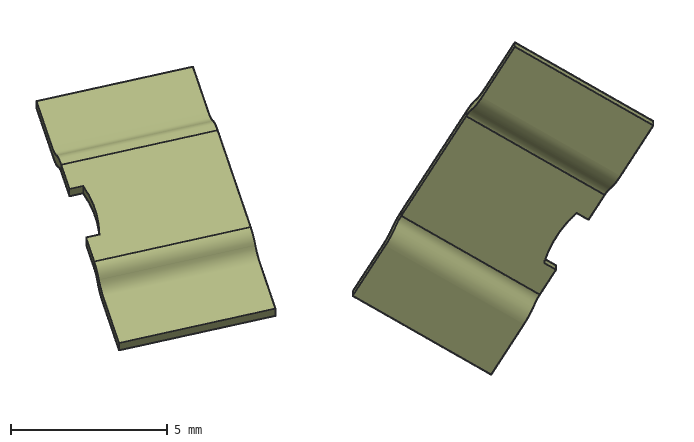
import cadquery as cq
import math

length = 10.0
width = 5.2
height = 0.88
thickness = 0.4

centre_length = 4.0
notch_width = 2.0
notch_depth = 0.58
notch_side_depth = 0.45

bend_angle = math.radians(45)
inside_radius = 0.4
outside_radius = inside_radius + thickness
foot_top_radius = 0.8
foot_bottom_radius = 0.8

raised_z = height - thickness
half_length = length / 2
half_centre = centre_length / 2


def bend_end_x(upper_radius, lower_radius):
    """X where the lower bend meets the flat foot, after a straight slope between the two bends."""
    radius_sum = upper_radius + lower_radius
    slope_drop = raised_z - radius_sum * (1 - math.cos(bend_angle))
    slope_run = slope_drop / math.tan(bend_angle)
    return half_centre + radius_sum * math.sin(bend_angle) + slope_run


def arc_point(centre_x, centre_z, radius, angle):
    """Point on a bend; the angle is measured from the +Z direction toward +X."""
    return (centre_x + radius * math.sin(angle), centre_z + radius * math.cos(angle))


def make_centre_plate():
    plate = cq.Workplane("XY").box(centre_length, width, thickness, centered=(True, True, False))
    front_y = -width / 2
    half_notch = notch_width / 2
    notch = (
        cq.Workplane("XY")
        .moveTo(-half_notch, front_y)
        .lineTo(-half_notch, front_y + notch_side_depth)
        .threePointArc((0, front_y + notch_depth), (half_notch, front_y + notch_side_depth))
        .lineTo(half_notch, front_y)
        .close()
        .extrude(thickness)
    )
    return plate.cut(notch).translate((0, 0, raised_z))


def make_end_piece():
    """The +X end piece: a strip bent down to a flat foot."""
    upper_centre = (half_centre, raised_z - inside_radius)
    top_end_x = bend_end_x(outside_radius, foot_top_radius)
    bottom_end_x = bend_end_x(inside_radius, foot_bottom_radius)
    half_bend = bend_angle / 2

    def upper(radius, angle):
        return arc_point(*upper_centre, radius, angle)

    def foot_top(angle):
        return arc_point(top_end_x, thickness + foot_top_radius, foot_top_radius, math.pi + angle)

    def foot_bottom(angle):
        return arc_point(bottom_end_x, foot_bottom_radius, foot_bottom_radius, math.pi + angle)

    return (
        cq.Workplane("XZ", origin=(0, width / 2, 0))
        .moveTo(half_centre, height)
        .threePointArc(upper(outside_radius, half_bend), upper(outside_radius, bend_angle))
        .lineTo(*foot_top(bend_angle))
        .threePointArc(foot_top(half_bend), (top_end_x, thickness))
        .lineTo(half_length, thickness)
        .lineTo(half_length, 0)
        .lineTo(bottom_end_x, 0)
        .threePointArc(foot_bottom(half_bend), foot_bottom(bend_angle))
        .lineTo(*upper(inside_radius, bend_angle))
        .threePointArc(upper(inside_radius, half_bend), (half_centre, raised_z))
        .close()
        .extrude(width)
    )


centre_plate = make_centre_plate()
end_pieces = []
for turn in (0, 180):
    end_pieces.append(make_end_piece().rotate((0, 0, 0), (0, 0, 1), turn).val())

result = cq.Compound.makeCompound([centre_plate.val(), *end_pieces])